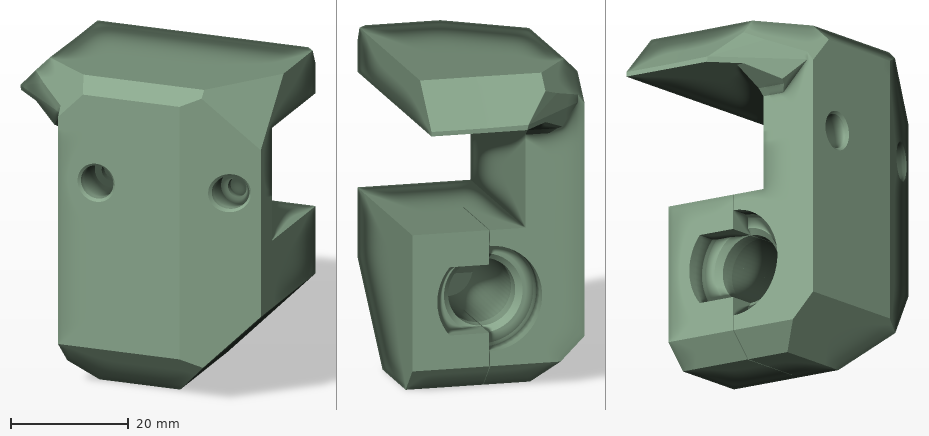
import cadquery as cq

HEIGHT = 56.25
DEPTH = 30.3
OVERHANG = 12.15
WIDTH = 47.1 - OVERHANG
FAR = 168.8

SLOT_FRONT = 10.4
SLOT_BOTTOM = 28.0
SLOT_TOP = 48.2

TOP_FRONT_BEVEL = 2.65
BOTTOM_FRONT_BEVEL = 8.45
BOTTOM_LEFT_BEVEL = 4.2
BOTTOM_RIGHT_BEVEL = 16.0
TAPER_START = 22.15
TAPER_DEPTH = 5.3
RIGHT_CORNER_START = 25.65
RIGHT_CORNER_BACK = 15.7
RIGHT_CORNER_HEIGHT = 45.8
LEFT_CORNER_SIDE = 49.05
LEFT_CORNER_TOP = 3.6
BACK_CORNER = 1.35
BACK_CORNER_DROP = 2.8

NOSE_BEVEL = 7.25
NOSE_BULGE = 0.195
NOSE_BEND_BACK = 20.4
NOSE_BEND_FRONT = 8.9

GUSSET_START = (-7.6, SLOT_TOP)
GUSSET_KNEE = (-1.35, 45.4)
GUSSET_FOOT = 44.3
FACET_TIP = (-OVERHANG, 13.2, 49.1)
FACET_SIDE = (0, 1.2, 49.35)
FACET_MIDDLE = (-5.05, 6.25, 52.55)
FACET_NOSE = (-7.4, 8.8, 53.95)
FACET_GUSSET = (-2.65, 4.65, 46.2)

SCREW_X = (7.0, 30.05)
SCREW_Z = 38.15
SCREW_HEAD_RADIUS = 5.9 / 2
SCREW_HEAD_DEPTH = 6.75
SCREW_HEAD_CHAMFER = 0.45
SCREW_PILOT_RADIUS = 3.4 / 2
SCREW_PILOT_DEPTH = 1.1

BORE_Y = 16.7
BORE_Z = 16.05
SEAT_RADIUS = 9.2
SEAT_DEPTH = 4.1
SEAT_CHAMFER = 0.45
MOUTH_RADIUS = 6.9
BORE_RADIUS = 5.9
CHAMBER_START = 7.75
CHAMBER_RADIUS = 5.95
BORE_END = 29.8
BORE_SLOPE_TOP = 13.15

PARTING_GAP = 0.15
COVER_FRONT = BORE_Y + PARTING_GAP / 2
COVER_LENGTH = 16.9
INSERT_LENGTH = 10.7
CORE_HEIGHT = 2 * CHAMBER_RADIUS
CORE_BACK = 29.75
PAD_FRONT = 24.3
PAD_BOTTOM = BOTTOM_LEFT_BEVEL
PAD_HEIGHT = 3.2


def box(x_range, y_range, z_range):
    """Box between the given limits along each axis."""
    spans = [limits[1] - limits[0] for limits in (x_range, y_range, z_range)]
    corner = (x_range[0], y_range[0], z_range[0])
    return cq.Workplane("XY").box(*spans, centered=False).translate(corner)


def beyond(first, second, third):
    """Space outside a plane whose three points run anticlockwise seen from outside."""
    start, along, across = (cq.Vector(*point) for point in (first, second, third))
    direction = along - start
    normal = direction.cross(across - start)
    plane = cq.Plane(origin=start, xDir=direction, normal=normal)
    return cq.Workplane(plane).rect(2 * FAR, 2 * FAR).extrude(FAR)


def envelope():
    """Side outline with the overhang and gusset, drawn through the whole depth."""
    nose_height = NOSE_BEVEL - NOSE_BULGE
    outline = [
        (0, BOTTOM_LEFT_BEVEL),
        (BOTTOM_LEFT_BEVEL, 0),
        (WIDTH - BOTTOM_RIGHT_BEVEL, 0),
        (WIDTH, BOTTOM_RIGHT_BEVEL),
        (WIDTH, HEIGHT),
        (nose_height - OVERHANG, HEIGHT),
        (-OVERHANG, HEIGHT - nose_height),
        (-OVERHANG, SLOT_TOP),
        GUSSET_START,
        GUSSET_KNEE,
        (0, GUSSET_FOOT),
    ]
    return cq.Workplane("XZ").polyline(outline).close().extrude(-DEPTH)


def cut_main_bevels(body):
    """Bevel the front face, its corners and the top back corner."""
    top_front = beyond(
        (0, 0, HEIGHT - TOP_FRONT_BEVEL),
        (WIDTH, 0, HEIGHT - TOP_FRONT_BEVEL),
        (0, TOP_FRONT_BEVEL, HEIGHT),
    )
    bottom_front = beyond(
        (0, 0, BOTTOM_FRONT_BEVEL),
        (0, BOTTOM_FRONT_BEVEL, 0),
        (WIDTH, 0, BOTTOM_FRONT_BEVEL),
    )
    right_taper = beyond(
        (TAPER_START, 0, 0),
        (WIDTH, TAPER_DEPTH, 0),
        (TAPER_START, 0, HEIGHT),
    )
    right_corner = beyond(
        (WIDTH, TAPER_DEPTH, RIGHT_CORNER_HEIGHT),
        (WIDTH, RIGHT_CORNER_BACK, HEIGHT),
        (RIGHT_CORNER_START, TOP_FRONT_BEVEL, HEIGHT),
    )
    left_corner = beyond(
        (0, 0, LEFT_CORNER_SIDE),
        (HEIGHT - TOP_FRONT_BEVEL - LEFT_CORNER_SIDE, 0, HEIGHT - TOP_FRONT_BEVEL),
        (LEFT_CORNER_TOP, TOP_FRONT_BEVEL, HEIGHT),
    )
    back_corner = beyond(
        (WIDTH, DEPTH - BACK_CORNER, HEIGHT),
        (WIDTH, DEPTH, HEIGHT - BACK_CORNER_DROP),
        (WIDTH - BACK_CORNER, DEPTH, HEIGHT),
    )
    for tool in (top_front, bottom_front, right_taper, right_corner, left_corner, back_corner):
        body = body.cut(tool)
    return body


def cut_nose(body):
    """Bevel the nose: straight at the back, leaning outwards towards the front."""
    bend_top = (NOSE_BEVEL - OVERHANG, NOSE_BEND_BACK, HEIGHT)
    bend_bottom = (-OVERHANG, NOSE_BEND_BACK, HEIGHT - NOSE_BEVEL)
    back_top = (NOSE_BEVEL - OVERHANG, DEPTH, HEIGHT)
    front_top = (NOSE_BEVEL - NOSE_BULGE - OVERHANG, NOSE_BEND_FRONT, HEIGHT)
    back_zone = box((-FAR, FAR), (NOSE_BEND_BACK, FAR), (0, FAR))
    front_zone = box((-FAR, FAR), (-FAR, NOSE_BEND_BACK), (0, FAR))
    back_tool = beyond(back_top, bend_bottom, bend_top).intersect(back_zone)
    front_tool = beyond(bend_top, bend_bottom, front_top).intersect(front_zone)
    return body.cut(back_tool).cut(front_tool)


def cut_overhang_facets(body):
    """Facet the front corner of the overhang and slope the front of the gusset."""
    gusset_edge = FACET_SIDE[1] + FACET_SIDE[2]
    facets = (
        (FACET_TIP, FACET_GUSSET, FACET_SIDE),
        (FACET_TIP, FACET_SIDE, FACET_MIDDLE),
        (FACET_TIP, FACET_MIDDLE, FACET_NOSE),
        ((0, 0, gusset_edge), (-OVERHANG, 0, gusset_edge), (0, gusset_edge, 0)),
    )
    overhang_zone = box((-FAR, 0), (-FAR, FAR), (GUSSET_FOOT, FAR))
    for facet in facets:
        body = body.cut(beyond(*facet).intersect(overhang_zone))
    return body


def cut_screw_holes(body):
    """Blind stepped screw holes with a chamfered rim on the front."""
    for x in SCREW_X:
        start = cq.Workplane("XZ").center(x, SCREW_Z)
        body = body.cut(start.circle(SCREW_HEAD_RADIUS).extrude(-SCREW_HEAD_DEPTH))
        rim_zone = cq.selectors.BoxSelector(
            (x - SCREW_HEAD_RADIUS, -0.55, SCREW_Z - SCREW_HEAD_RADIUS),
            (x + SCREW_HEAD_RADIUS, TAPER_DEPTH, SCREW_Z + SCREW_HEAD_RADIUS),
        )
        body = body.faces(rim_zone).edges("<Y").chamfer(SCREW_HEAD_CHAMFER)
        pilot_end = SCREW_HEAD_DEPTH + SCREW_PILOT_DEPTH
        body = body.cut(start.circle(SCREW_PILOT_RADIUS).extrude(-pilot_end))
    return body


def make_bore():
    """Stepped bore along X with a conical mouth and a sloped floor at its end."""
    cone_end = SEAT_DEPTH + MOUTH_RADIUS - BORE_RADIUS
    profile = [
        (0, 0),
        (0, SEAT_RADIUS),
        (SEAT_DEPTH - SEAT_CHAMFER, SEAT_RADIUS),
        (SEAT_DEPTH, SEAT_RADIUS - SEAT_CHAMFER),
        (SEAT_DEPTH, MOUTH_RADIUS),
        (cone_end, BORE_RADIUS),
        (CHAMBER_START, BORE_RADIUS),
        (CHAMBER_START, CHAMBER_RADIUS),
        (BORE_END, CHAMBER_RADIUS),
        (BORE_END, 0),
    ]
    bore = cq.Workplane("XY").polyline(profile).close().revolve(360, (0, 0), (1, 0))
    floor = beyond(
        (BORE_END, 0, BORE_SLOPE_TOP),
        (BORE_END - BORE_SLOPE_TOP, 0, 0),
        (BORE_END, DEPTH, BORE_SLOPE_TOP),
    )
    return bore.translate((0, BORE_Y, BORE_Z)).cut(floor)


def cover_space(front):
    """Space of the cover in the lower block, starting at the given front plane."""
    return box((0, COVER_LENGTH), (front, FAR), (-0.55, SLOT_BOTTOM))


def make_housing(block, bore):
    housing = block.cut(cover_space(COVER_FRONT - PARTING_GAP))
    return cut_screw_holes(housing.cut(bore))


def core_space(length, back):
    """Band of the core's height around the bore, from the left face and the cover front."""
    core_z = (BORE_Z - CORE_HEIGHT / 2, BORE_Z + CORE_HEIGHT / 2)
    return box((0, length), (COVER_FRONT, back), core_z)


def make_insert(block, opening):
    """Core with two half-round cheeks and a pad above and below, joined by a web."""
    core = core_space(INSERT_LENGTH, CORE_BACK)
    cheeks = cq.Workplane("YZ").center(BORE_Y, BORE_Z).circle(SEAT_RADIUS).extrude(SEAT_DEPTH)
    pads_y = (PAD_FRONT, DEPTH)
    web = box((SEAT_DEPTH, INSERT_LENGTH), pads_y, (PAD_BOTTOM, SLOT_BOTTOM))
    insert = core.union(cheeks).union(web)
    for bottom in (PAD_BOTTOM, SLOT_BOTTOM - PAD_HEIGHT):
        insert = insert.union(box((0, INSERT_LENGTH), pads_y, (bottom, bottom + PAD_HEIGHT)))
    return insert.cut(opening).intersect(block).intersect(cover_space(COVER_FRONT))


def make_cover(block, opening, insert):
    """Back half of the bore clamp, recessed to take the insert."""
    return block.intersect(cover_space(COVER_FRONT)).cut(opening).cut(insert)


block = envelope().cut(box((-FAR, FAR), (SLOT_FRONT, FAR), (SLOT_BOTTOM, SLOT_TOP)))
block = cut_main_bevels(block)
block = cut_nose(block)
block = cut_overhang_facets(block)
bore = make_bore()
opening = bore.intersect(core_space(BORE_END, DEPTH))

housing = make_housing(block, bore)
insert = make_insert(block, opening)
cover = make_cover(block, opening, insert)

result = cq.Compound.makeCompound([housing.val(), cover.val(), insert.val()])